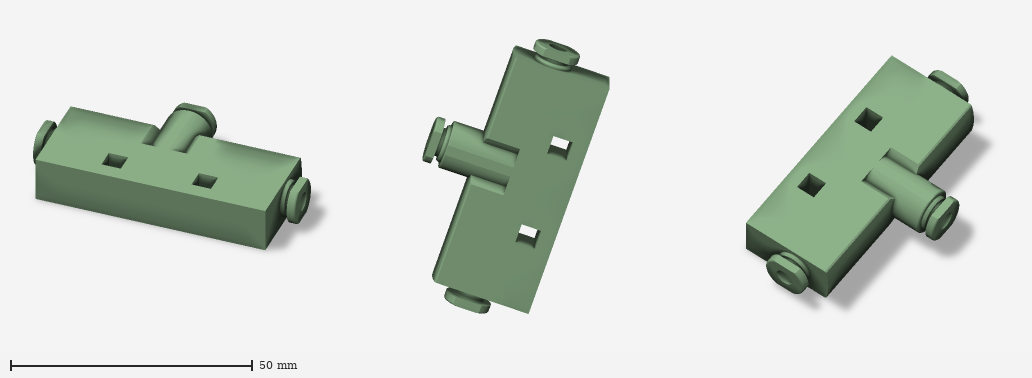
import cadquery as cq
import math

block_length = 51.0
block_depth = 21.2
block_height = 10.0
rear_crown_radius = 20.0
rear_edge_chamfer_depth = 0.35
rear_edge_chamfer_height = 0.25

square_hole_size = 4.3
square_hole_spacing = 20.0
square_hole_y = 5.5

tube_x = -2.0
tube_radius = 5.11
tube_end_chamfer = 0.2
tube_end_y = 27.7
clearance_start_y = 13.25
clearance_angle = 43.8

side_fitting_y = 12.5
fitting_length = 3.6
collar_radius = 4.0
collar_front_radius = 3.75
collar_length = 0.85
collar_rim_length = 0.43
neck_radius = 6.1 / 2
neck_fillet = 0.4
button_radius = 4.88
button_thickness = 1.8
button_fillet = 0.45
button_flat_distance = 8.0
bore_diameter = 4.0

half_height = block_height / 2


def make_block():
    """Block with a crowned rear face whose long edges are chamfered."""
    chamfer_z = half_height - rear_edge_chamfer_height
    crown_drop = rear_crown_radius - math.sqrt(rear_crown_radius**2 - chamfer_z**2)
    crown_edge_y = block_depth - crown_drop
    chamfer_y = crown_edge_y - rear_edge_chamfer_depth
    return (
        cq.Workplane("YZ")
        .moveTo(0, -half_height)
        .lineTo(chamfer_y, -half_height)
        .lineTo(crown_edge_y, -chamfer_z)
        .threePointArc((block_depth, 0), (crown_edge_y, chamfer_z))
        .lineTo(chamfer_y, half_height)
        .lineTo(0, half_height)
        .close()
        .extrude(block_length / 2, both=True)
    )


def make_square_holes():
    return (
        cq.Workplane("XY")
        .pushPoints([(-square_hole_spacing / 2, square_hole_y), (square_hole_spacing / 2, square_hole_y)])
        .rect(square_hole_size, square_hole_size)
        .extrude(half_height, both=True)
    )


def make_tube_clearance():
    """Wedges above and below the tube axis that free the tube from the block."""
    half_width = half_height / math.tan(math.radians(clearance_angle))
    return (
        cq.Workplane("XZ", origin=(tube_x, clearance_start_y, 0))
        .polyline([(0, 0), (half_width, half_height), (-half_width, half_height)])
        .close()
        .polyline([(0, 0), (half_width, -half_height), (-half_width, -half_height)])
        .close()
        .extrude(-block_depth)
    )


def make_tube():
    length = tube_end_y - clearance_start_y
    cylinder = (
        cq.Workplane("XZ", origin=(tube_x, clearance_start_y, 0))
        .circle(tube_radius)
        .extrude(-length)
        .faces(">Y")
        .chamfer(tube_end_chamfer)
    )
    envelope = cq.Workplane("XY").box(block_length, 2 * tube_end_y, block_height)
    return cylinder.intersect(envelope)


def make_fitting():
    """Fitting along +Z, seated on Z = 0 and bored along its whole length."""
    button_z = fitting_length - button_thickness
    body = (
        cq.Workplane("XZ")
        .moveTo(0, 0)
        .lineTo(collar_radius, 0)
        .lineTo(collar_radius, collar_rim_length)
        .lineTo(collar_front_radius, collar_length)
        .lineTo(neck_radius, collar_length)
        .lineTo(neck_radius, button_z - neck_fillet)
        .radiusArc((neck_radius + neck_fillet, button_z), neck_fillet)
        .lineTo(button_radius, button_z)
        .lineTo(button_radius, fitting_length - button_fillet)
        .radiusArc((button_radius - button_fillet, fitting_length), -button_fillet)
        .lineTo(0, fitting_length)
        .close()
        .revolve(360, (0, 0, 0), (0, 1, 0))
    )
    flats = cq.Workplane("XY").box(
        2 * button_radius, button_flat_distance, 2 * fitting_length
    )
    bore = cq.Workplane("XY").circle(bore_diameter / 2).extrude(fitting_length)
    return body.intersect(flats).cut(bore)


def place_on_side(fitting, side):
    """Turn the fitting to point along X and seat it on the left (-1) or right (+1) end."""
    turned = fitting.rotate((0, 0, 0), (0, 0, 1), 90).rotate((0, 0, 0), (0, 1, 0), side * 90)
    return turned.translate((side * block_length / 2, side_fitting_y, 0))


fitting = make_fitting()
rear_fitting = fitting.rotate((0, 0, 0), (1, 0, 0), -90).translate((tube_x, tube_end_y, 0))

result = make_block().cut(make_square_holes()).cut(make_tube_clearance()).union(make_tube())
for side in (-1, 1):
    result = result.union(place_on_side(fitting, side))
result = result.union(rear_fitting)